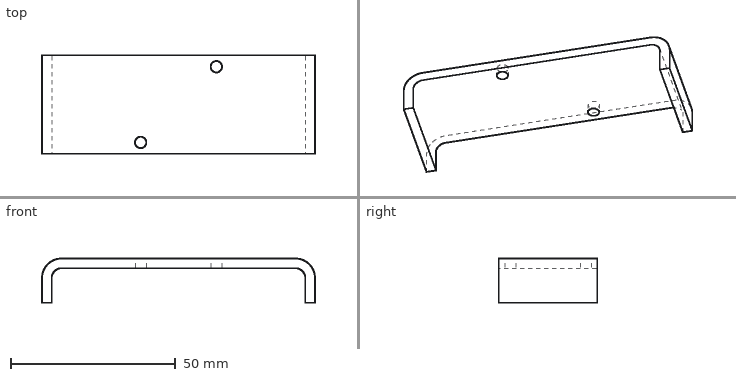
import cadquery as cq

length = 83.0
width = 30.0
height = 13.5

thickness = 3.0
inner_bend_radius = 3.0
outer_bend_radius = inner_bend_radius + thickness

hole_diameter = 3.4
hole_offset = 11.5


def make_channel():
    """U-shaped plate: a flat top with a leg bent down at each end."""
    outer = cq.Workplane("XY").box(length, width, height, centered=(True, True, False))
    outer = outer.edges("|Y and >Z").fillet(outer_bend_radius)

    inner_length = length - 2 * thickness
    inner_height = height - thickness
    inner = cq.Workplane("XY").box(inner_length, width, inner_height, centered=(True, True, False))
    inner = inner.edges("|Y and >Z").fillet(inner_bend_radius)

    return outer.cut(inner)


def drill_holes(plate):
    """Drill the two holes straight down through the flat top."""
    hole_centres = [(side * hole_offset, side * hole_offset) for side in (-1, 1)]
    drills = (
        cq.Workplane("XY")
        .pushPoints(hole_centres)
        .circle(hole_diameter / 2)
        .extrude(height)
    )
    return plate.cut(drills)


result = drill_holes(make_channel())